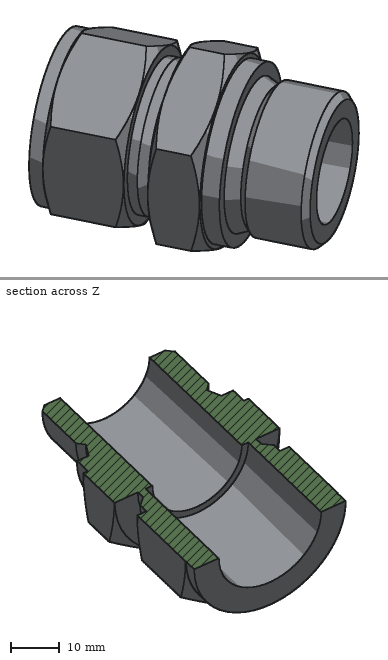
import cadquery as cq
import math

LENGTH = 59.9

NUT_START = 3.0
NUT_END = 20.65
NUT_FLATS = 38.0
NUT_COLLAR_DIAMETER = 37.85

SHOULDER_END = 22.8
SHOULDER_RADIUS = 16.7
NECK_START = 24.6
NECK_RADIUS = 14.8

BODY_HEX_START = 26.4
BODY_HEX_END = 37.8
BODY_HEX_FLATS = 41.3
FLANGE_END = 41.7
FLANGE_RADIUS = 19.5

CORNER_CONE_ANGLE = 30.0
CONE_INSET = 0.1

THREAD_RADIUS = 16.6
THREAD_CHAMFER = 1.45
RELIEF_END = 44.8
RELIEF_RADIUS = THREAD_RADIUS - THREAD_CHAMFER

BORE_DIAMETER = 22.3
SOCKET_DIAMETER = 25.5
SOCKET_DEPTH = BODY_HEX_START


def cylinder(start, end, diameter):
    """Solid cylinder on the X axis between two X positions."""
    return cq.Workplane("YZ").workplane(offset=start).circle(diameter / 2).extrude(end - start)


def chamfered_hexagon(start, end, flats):
    """Hexagonal prism along X, corners pointing to +Z and -Z, coned off at both ends."""
    corner_radius = flats / math.sqrt(3)
    face_radius = flats / 2 - CONE_INSET
    cone_length = (corner_radius - face_radius) * math.tan(math.radians(CORNER_CONE_ANGLE))
    prism = (
        cq.Workplane("YZ")
        .workplane(offset=start)
        .transformed(rotate=(0, 0, 90))
        .polygon(6, 2 * corner_radius)
        .extrude(end - start)
    )
    envelope = (
        cq.Workplane("XZ")
        .moveTo(start, 0)
        .lineTo(start, face_radius)
        .lineTo(start + cone_length, corner_radius)
        .lineTo(end - cone_length, corner_radius)
        .lineTo(end, face_radius)
        .lineTo(end, 0)
        .close()
        .revolve(360, (0, 0, 0), (1, 0, 0))
    )
    return prism.intersect(envelope)


def turned_body():
    """Round outer surfaces from the nut collar to the thread end, as one solid."""
    return (
        cq.Workplane("XZ")
        .moveTo(NUT_START, 0)
        .lineTo(NUT_START, SHOULDER_RADIUS)
        .lineTo(SHOULDER_END, SHOULDER_RADIUS)
        .lineTo(NECK_START, NECK_RADIUS)
        .lineTo(BODY_HEX_END, NECK_RADIUS)
        .lineTo(BODY_HEX_END, FLANGE_RADIUS)
        .lineTo(FLANGE_END, FLANGE_RADIUS)
        .lineTo(FLANGE_END, THREAD_RADIUS)
        .lineTo(RELIEF_END, RELIEF_RADIUS)
        .lineTo(RELIEF_END + THREAD_CHAMFER, THREAD_RADIUS)
        .lineTo(LENGTH - THREAD_CHAMFER, THREAD_RADIUS)
        .lineTo(LENGTH, RELIEF_RADIUS)
        .lineTo(LENGTH, 0)
        .close()
        .revolve(360, (0, 0, 0), (1, 0, 0))
    )


outside = (
    turned_body()
    .union(cylinder(0, NUT_START, NUT_COLLAR_DIAMETER))
    .union(chamfered_hexagon(NUT_START, NUT_END, NUT_FLATS))
    .union(chamfered_hexagon(BODY_HEX_START, BODY_HEX_END, BODY_HEX_FLATS))
)

result = (
    outside
    .cut(cylinder(0, LENGTH, BORE_DIAMETER))
    .cut(cylinder(0, SOCKET_DEPTH, SOCKET_DIAMETER))
)